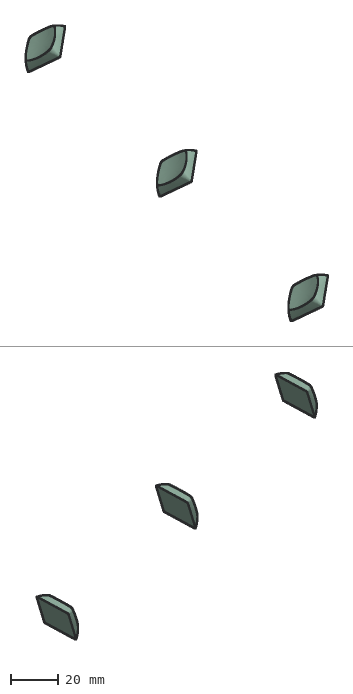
import cadquery as cq
import math

key_count = 3
row_length = 202.0
key_span = 22.0
pitch = (row_length - key_span) / (key_count - 1)

base_tilt = 40

base_size = 18.0
base_corner_radius = 0.7

waist_size = 16.4
waist_bow = 0.5
waist_corner_radius = 1.6
waist_height = 2.5

top_size = 12.1
top_bow = 1.2
top_corner_radius = 2.5
top_height = 5.2

dish_radius = 38.4
dish_floor = 3.2


def rounded(outline, corner_radius):
    """Closed wire of a four-cornered outline with its corners rounded."""
    face = cq.Face.makeFromWires(outline.val())
    return face.fillet2D(corner_radius, face.Vertices()).outerWire()


def straight_square(size):
    """Square outline at the height of the base."""
    half = size / 2
    corners = [(-half, -half), (half, -half), (half, half), (-half, half)]
    return cq.Workplane("XY").polyline(corners).close()


def bowed_square(size, bow, height):
    """Square outline whose sides are arcs that swell outwards by the bow."""
    half = size / 2
    middle = half + bow
    return (
        cq.Workplane("XY", origin=(0, 0, height))
        .moveTo(-half, -half)
        .threePointArc((0, -middle), (half, -half))
        .threePointArc((middle, 0), (half, half))
        .threePointArc((0, middle), (-half, half))
        .threePointArc((-middle, 0), (-half, -half))
        .close()
    )


def make_dish():
    """Ball that hollows the top of a key down to the dish floor."""
    return cq.Workplane("XY").sphere(dish_radius).translate((0, 0, dish_floor + dish_radius))


def make_keycap():
    """One keycap standing upright, with its base on the XY plane."""
    base = rounded(straight_square(base_size), base_corner_radius)
    waist = rounded(bowed_square(waist_size, waist_bow, waist_height), waist_corner_radius)
    top = rounded(bowed_square(top_size, top_bow, top_height), top_corner_radius)
    body = cq.Workplane(cq.Solid.makeLoft([base, waist, top]))
    return body.cut(make_dish())


def key_location(center_x):
    """Place on the row where a key leans over, facing -X -Y and up."""
    tilt = math.radians(base_tilt)
    level_share = math.sin(tilt) / math.sqrt(2)
    normal = (-level_share, -level_share, math.cos(tilt))
    return cq.Plane(origin=(center_x, 0, 0), xDir=(1, -1, 0), normal=normal).location


keycap = make_keycap().solids().val()
first_center = -pitch * (key_count - 1) / 2
keycaps = []
for index in range(key_count):
    keycaps.append(keycap.moved(key_location(first_center + index * pitch)))

result = cq.Compound.makeCompound(keycaps)